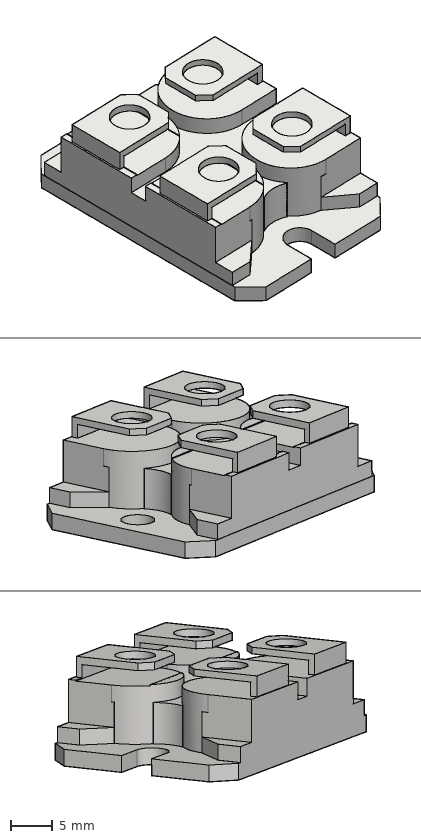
import cadquery as cq
import math

length = 38.1
width = 25.25
plate_top = 2.1
corner_chamfer = 2.65
mount_x = 15.1
mount_diameter = 4.1

ledge_top = 4.08
floor_top = 7.2
boss_top = 9.4

channel_width = 2.35
boss_width = 11.9
boss_radius = boss_width / 2
boss_x = channel_width / 2 + boss_radius
boss_arc_y = 6.63
housing_half_length = boss_x + boss_radius

ledge_half_length = 15.93
ledge_straight_y = 9.52
rear_flat_y = 5.8
front_flat_y = 6.3
waist_radius = 4.55
waist_width = 4.05

front_setback = 0.05
housing_front_y = front_setback - width / 2
housing_rear_y = width / 2

terminal_x = 7.43
terminal_width = 8.08
terminal_top = 12.0
terminal_tip_y = 2.35
terminal_chamfer = 1.5
terminal_hole_diameter = 4.9
terminal_hole_x = 7.55
terminal_hole_y = 6.35
rear_outer_y = 12.5
rear_inner_y = 11.62
rear_underside = 11.15
front_outer_y = 12.35
front_inner_y = 11.6
front_underside = 11.05
recess_floor = 9.3

SIDES = (-1, 1)


def block(x_range, y_range, z_range):
    """Axis-aligned box given by its limits."""
    low, high = zip(x_range, y_range, z_range)
    size = [b - a for a, b in zip(low, high)]
    return cq.Workplane("XY").box(*size, centered=False).translate(low)


def cylinder(x, y, diameter, bottom, top):
    """Upright cylinder between two levels."""
    return cq.Workplane("XY", origin=(x, y, bottom)).circle(diameter / 2).extrude(top - bottom)


def base_plate():
    """Plate with cut corners, a round hole at -X and an open slot at +X."""
    plate = cq.Workplane("XY").rect(length, width).extrude(plate_top)
    plate = plate.edges("|Z").chamfer(corner_chamfer)
    hole = cylinder(-mount_x, 0, mount_diameter, 0, plate_top)
    slot_end = cylinder(mount_x, 0, mount_diameter, 0, plate_top)
    half_slot = mount_diameter / 2
    slot = block((mount_x, length / 2), (-half_slot, half_slot), (0, plate_top))
    return plate.cut(hole).cut(slot_end).cut(slot)


def housing_face_y(side_y):
    """Y of the long housing face on the front (-1) or rear (1) side."""
    return housing_rear_y if side_y > 0 else housing_front_y


def boss(side_x, side_y):
    """Tall boss, straight at the outer edge and rounded towards the centre."""
    left = side_x * boss_x - boss_radius
    right = side_x * boss_x + boss_radius
    outer_y = housing_face_y(side_y)
    arc_y = side_y * boss_arc_y
    return (
        cq.Workplane("XY", origin=(0, 0, plate_top))
        .moveTo(left, outer_y)
        .lineTo(left, arc_y)
        .threePointArc((side_x * boss_x, side_y * (boss_arc_y - boss_radius)), (right, arc_y))
        .lineTo(right, outer_y)
        .close()
        .extrude(boss_top - plate_top)
    )


def ledge(side_y, flat_y):
    """Low ledge along one long edge, with sloped ends meeting the bosses."""
    outer_y = housing_face_y(side_y)
    straight_y = side_y * ledge_straight_y
    inner_y = side_y * flat_y
    outline = [
        (-ledge_half_length, outer_y),
        (-ledge_half_length, straight_y),
        (-housing_half_length, inner_y),
        (housing_half_length, inner_y),
        (ledge_half_length, straight_y),
        (ledge_half_length, outer_y),
    ]
    height = ledge_top - plate_top
    return cq.Workplane("XY", origin=(0, 0, plate_top)).polyline(outline).close().extrude(height)


def lower_housing():
    """Body up to the channel floor, waisted around both mounting openings."""
    full_x = (-housing_half_length, housing_half_length)
    levels = (plate_top, floor_top)
    rear = block(full_x, (rear_flat_y, housing_rear_y), levels)
    front = block(full_x, (housing_front_y, -front_flat_y), levels)
    centre = block((-boss_x, boss_x), (housing_front_y, housing_rear_y), levels)
    waist_x = mount_x - math.sqrt(waist_radius**2 - (waist_width / 2) ** 2)
    waist = block((-waist_x, waist_x), (-waist_width / 2, waist_width / 2), levels)
    for side_x in SIDES:
        waist = waist.cut(cylinder(side_x * mount_x, 0, 2 * waist_radius, *levels))
    return rear.union(front).union(centre).union(waist)


def terminal(side_x, side_y, outer_y, inner_y, underside):
    """L-shaped terminal: a leg on the boss and a flat tab reaching inwards."""
    left = side_x * terminal_x - terminal_width / 2
    right = left + terminal_width
    tip_y = side_y * terminal_tip_y
    shoulder_y = side_y * (terminal_tip_y + terminal_chamfer)
    tab_outline = [
        (left, side_y * outer_y),
        (left, shoulder_y),
        (left + terminal_chamfer, tip_y),
        (right - terminal_chamfer, tip_y),
        (right, shoulder_y),
        (right, side_y * outer_y),
    ]
    thickness = terminal_top - underside
    tab = cq.Workplane("XY", origin=(0, 0, underside)).polyline(tab_outline).close().extrude(thickness)
    hole = cylinder(
        side_x * terminal_hole_x, side_y * terminal_hole_y, terminal_hole_diameter, underside, terminal_top
    )
    leg_y = sorted((side_y * inner_y, side_y * outer_y))
    leg = block((left, right), leg_y, (boss_top, terminal_top))
    return tab.cut(hole).union(leg)


result = base_plate().union(lower_housing())
result = result.union(ledge(1, rear_flat_y)).union(ledge(-1, front_flat_y))
for side_x in SIDES:
    for side_y in SIDES:
        result = result.union(boss(side_x, side_y))

front_relief = block(
    (-housing_half_length, housing_half_length),
    (-front_inner_y, -terminal_tip_y),
    (recess_floor, boss_top),
)
result = result.cut(front_relief)

for side_x in SIDES:
    result = result.union(terminal(side_x, 1, rear_outer_y, rear_inner_y, rear_underside))
    result = result.union(terminal(side_x, -1, front_outer_y, front_inner_y, front_underside))